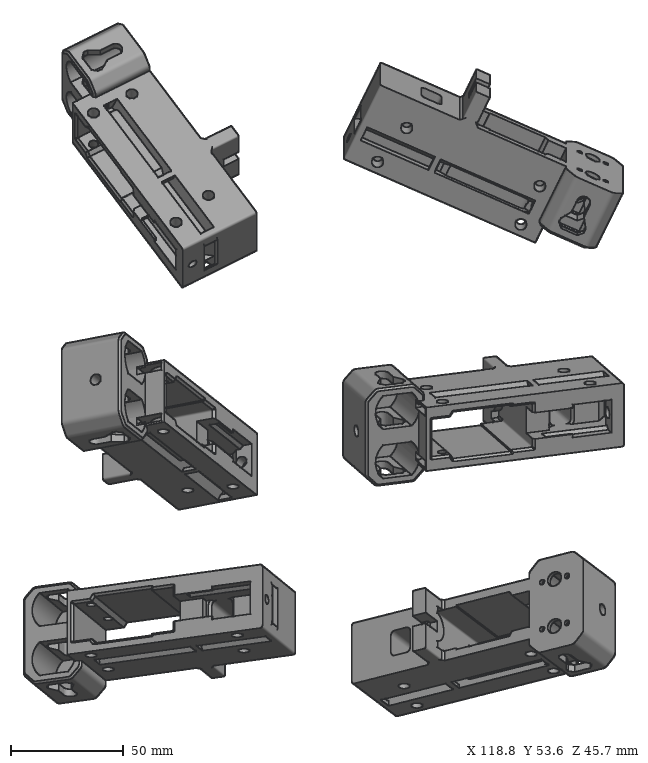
import cadquery as cq
import math


total_length = 118.8
body_left = 25.0
body_depth = 38.5
body_half_height = 15.0
body_edge_radius = 1.2
front = -body_depth

head_width = 27.9
head_depth = 29.1
head_height = 45.7
head_half_height = head_height / 2
head_corner_chamfer = 5.0
head_corner_radius = 3.0
head_front_chamfer = 1.0
pocket_x = 14.8
pocket_spacing = 23.2
pocket_z = pocket_spacing / 2
pocket_radius = 10.3
pocket_half_height = 7.8
pocket_rear_wall = 2.0
shaft_hole_diameter = 6.9
screw_hole_diameter = 2.4
screw_hole_spacing = 12.7
screw_hole_offset = screw_hole_spacing / 2

key_neck_width = 6.0
key_neck_radius = key_neck_width / 2
key_neck_y = -9.9
key_flare_start = -15.9
key_flare_end = -20.7
key_bulb_half_width = 6.0
key_bulb_corner = 2.1
key_bulb_front = -24.8

insert_mouth_diameter = 5.1
insert_tip_diameter = 4.0
insert_depth = 6.5
insert_rear_row = -13.4
insert_front_row = -33.4
insert_left_x = 34.5
insert_right_xs = {insert_rear_row: 99.6, insert_front_row: 104.6}
head_insert_y = -16.9

bay_left = 27.9
bay_right = 75.6
bay_left_half_height = 8.8
bay_mid_half_height = 10.9
bay_right_half_height = 10.2
bay_ramp_start = 36.6
bay_ramp_end = 38.1
bay_step_x = 65.3
bay_mouth_chamfer = 1.1
bay_corner_radius = 0.8

plug_left = 86.6
plug_right = 112.8
plug_half_height = 6.2
plug_rear = -25.8
partition_front = -29.7
plug_mouth_left = 94.4
plug_mouth_half_height = 7.7
plug_mouth_rear = -34.3
plug_groove_left = 81.9
plug_lip = 1.1
passage_left = 111.6
passage_front = -30.9
window_left, window_right = 88.8, 98.7
window_radius = 2.1
window_chamfer = 1.2

channel_floor = 10.5
channel_roof = 13.3
channel_plateau = 12.0
channel_front = -27.3
channel_rear = -20.4
channel_slant = math.radians(30)
plateau_left, plateau_right = 38.2, 74.1
plateau_ramp = 2.8
bend_x = 112.7
bend_inner_radius = 3.6
bend_outer_radius = bend_inner_radius + channel_roof - channel_floor
bend_z = channel_floor - bend_inner_radius
exit_left = bend_x + bend_inner_radius
inlet_roof = 14.0
inlet_rear = -24.8
inlet_end = 35.7
flare_front = -36.9
flare_radius = 6.6
slots = [(33.5, 79.6), (82.5, 115.7)]

tab_left, tab_right = 72.1, 78.8
tab_length = 15.1
tab_edge_radius = 0.89
gusset = 1.01
tab_notch_half_height = 2.6
tab_notch_bottom = 7.1
tab_notch_relief_bottom = 4.9
tab_recess_depth = 4.6
tab_recess_half_height = 10.1
tab_recess_corner = 0.7
tab_boss_y = 6.2
tab_boss_radius = 7.0


def box(x0, x1, y0, y1, z0, z1):
    return cq.Workplane("XY").box(x1 - x0, y1 - y0, z1 - z0, centered=False).translate((x0, y0, z0))


def both_sides(shape):
    """The shape together with its mirror image below Z = 0."""
    return shape.union(shape.mirror("XY"))


def facing_front(y):
    """Sketch plane at the given Y, facing -Y; its axes are X and Z."""
    return cq.Workplane("XZ", origin=(0, y, 0))


def insert_hole(depth, point, direction):
    """Cone narrowing from the mouth at the surface."""
    return cq.Workplane(cq.Solid.makeCone(
        insert_mouth_diameter / 2, insert_tip_diameter / 2, depth,
        cq.Vector(*point), cq.Vector(*direction)))


def head():
    block = box(0, head_width, -head_depth, 0, -head_half_height, head_half_height)
    block = block.edges("|Y").chamfer(head_corner_chamfer)
    block = block.edges("|Y").fillet(head_corner_radius)
    block = block.faces("<Y").chamfer(head_front_chamfer)
    for z in (-pocket_z, pocket_z):
        pocket = (facing_front(-pocket_rear_wall).center(pocket_x, z)
                  .circle(pocket_radius).extrude(head_depth))
        pocket = pocket.intersect(box(0, head_width, -head_depth, 0,
                                      z - pocket_half_height, z + pocket_half_height))
        shaft_hole = (facing_front(0).center(pocket_x, z)
                      .circle(shaft_hole_diameter / 2).extrude(head_depth))
        screws = (facing_front(0).center(pocket_x, z)
                  .pushPoints([(-screw_hole_offset, 0), (screw_hole_offset, 0)])
                  .circle(screw_hole_diameter / 2).extrude(head_depth))
        block = block.cut(pocket).cut(shaft_hole).cut(screws)
    return block.cut(keyhole()).cut(insert_hole(insert_depth, (0, head_insert_y, 0), (1, 0, 0)))


def keyhole():
    bulb_side = key_bulb_front + key_bulb_corner
    return (cq.Workplane("XY", origin=(pocket_x, 0, -head_half_height))
            .moveTo(-key_neck_radius, key_neck_y)
            .threePointArc((0, key_neck_y + key_neck_radius), (key_neck_radius, key_neck_y))
            .lineTo(key_neck_radius, key_flare_start)
            .lineTo(key_bulb_half_width, key_flare_end)
            .lineTo(key_bulb_half_width, bulb_side)
            .lineTo(key_bulb_half_width - key_bulb_corner, key_bulb_front)
            .lineTo(key_bulb_corner - key_bulb_half_width, key_bulb_front)
            .lineTo(-key_bulb_half_width, bulb_side)
            .lineTo(-key_bulb_half_width, key_flare_end)
            .lineTo(-key_neck_radius, key_flare_start)
            .close().extrude(2 * head_half_height))


def body():
    block = box(body_left, total_length, front, 0, -body_half_height, body_half_height)
    return block.edges("|Y and >X").fillet(body_edge_radius)


def tab():
    arm = box(tab_left, tab_right, 0, tab_length, -body_half_height, body_half_height)
    arm = arm.edges("|Y").fillet(tab_edge_radius)
    foot = (cq.Workplane("XY", origin=(0, 0, -body_half_height))
            .polyline([(tab_left - gusset, 0), (tab_left + tab_edge_radius, gusset + tab_edge_radius),
                       (tab_right - tab_edge_radius, gusset + tab_edge_radius), (tab_right + gusset, 0)])
            .close().extrude(2 * body_half_height))
    return arm.union(foot)


def tab_notch():
    notch = box(tab_left, tab_right, tab_notch_bottom, tab_length,
                -tab_notch_half_height, tab_notch_half_height)
    relief = box(tab_left, bay_right, tab_notch_relief_bottom, tab_length,
                 -tab_notch_half_height, tab_notch_half_height)
    return notch.union(relief)


def tab_recess():
    """End of the battery bay, sunk into the tab."""
    recess = box(tab_left - gusset, bay_right, 0, tab_recess_depth,
                 -tab_recess_half_height, tab_recess_half_height)
    return recess.edges("|Y and >X").chamfer(tab_recess_corner)


def tab_boss():
    """Round boss across the recess, wrapped around the foot of the notch."""
    return (cq.Workplane("YZ", origin=(tab_left, 0, 0)).center(tab_boss_y, 0)
            .circle(tab_boss_radius).extrude(bay_right - tab_left))


def bay():
    """Through opening for the battery, widened by a chamfer at its front mouth."""
    upper = [(bay_left, bay_left_half_height), (bay_ramp_start, bay_left_half_height),
             (bay_ramp_end, bay_mid_half_height), (bay_step_x, bay_mid_half_height),
             (bay_step_x, bay_right_half_height), (bay_right, bay_right_half_height)]
    outline = upper + [(x, -z) for x, z in reversed(upper)]
    opening = facing_front(0).polyline(outline).close().extrude(body_depth)
    opening = opening.edges("|Y and >X").fillet(bay_corner_radius)
    mouth = (facing_front(front + bay_mouth_chamfer).polyline(outline).close()
             .extrude(bay_mouth_chamfer, taper=-45))
    return opening.union(mouth)


def window_outline(y):
    """Rounded outline of the rear window of the plug bay, drawn at the given Y."""
    sketch = (cq.Sketch().rect(window_right - window_left, 2 * plug_half_height)
              .vertices().fillet(window_radius))
    return facing_front(y).center((window_left + window_right) / 2, 0).placeSketch(sketch)


def plug_bay():
    """Plug pocket with a groove, a wider mouth, a rear window and a passage to the right end."""
    shelf = box(bay_right, plug_left, front, partition_front, -plug_half_height, plug_half_height)
    pocket = box(plug_left, plug_right, front, plug_rear, -plug_half_height, plug_half_height)
    slope = plug_mouth_half_height - plug_half_height
    upper = [(front + plug_lip, plug_mouth_half_height), (plug_mouth_rear, plug_mouth_half_height),
             (plug_mouth_rear + slope, plug_half_height)]
    groove = (cq.Workplane("YZ", origin=(plug_groove_left, 0, 0))
              .polyline(upper + [(y, -z) for y, z in reversed(upper)]).close()
              .extrude(plug_right - plug_groove_left))
    mouth = box(plug_mouth_left, plug_right, front, front + plug_lip,
                -plug_mouth_half_height, plug_mouth_half_height)
    window = window_outline(0).extrude(-plug_rear)
    flare = window_outline(plug_rear + window_chamfer).extrude(window_chamfer, taper=-45)
    flare = flare.intersect(box(body_left, total_length, front, 0, -plug_half_height, plug_half_height))
    passage = (cq.Workplane("XY", origin=(0, 0, -plug_half_height))
               .polyline([(passage_left, plug_rear), (exit_left, channel_rear), (total_length, channel_rear),
                          (total_length, channel_front), (exit_left, channel_front),
                          (plug_right, passage_front), (passage_left, passage_front)])
               .close().extrude(2 * plug_half_height))
    exit_opening = box(exit_left, total_length, channel_front, channel_rear, -bend_z, bend_z)
    opening = shelf.union(pocket)
    for extra in (groove, mouth, window, flare, passage, exit_opening):
        opening = opening.union(extra)
    return opening


def on_arc(radius, degrees):
    """Point in X and Z on a circle about the centre of the channel bend."""
    angle = math.radians(degrees)
    return (bend_x + radius * math.cos(angle), bend_z + radius * math.sin(angle))


def channel():
    """Wire channel in the top wall, rising over the bay and bending down to the right end."""
    rear_shift = 2 * body_half_height * math.tan(channel_slant)
    run_start = slots[0][0]
    run = (facing_front(channel_rear)
           .moveTo(run_start, channel_roof)
           .lineTo(bend_x, channel_roof)
           .threePointArc(on_arc(bend_outer_radius, 45), on_arc(bend_outer_radius, 0))
           .lineTo(exit_left, bend_z)
           .threePointArc(on_arc(bend_inner_radius, 45), (bend_x, channel_floor))
           .lineTo(plateau_right + plateau_ramp, channel_floor)
           .lineTo(plateau_right, channel_plateau)
           .lineTo(plateau_left, channel_plateau)
           .tangentArcPoint((plateau_left - plateau_ramp, channel_floor), relative=False)
           .lineTo(run_start, channel_floor)
           .close().extrude(channel_rear - channel_front))
    run = run.intersect(box(run_start, total_length, channel_front, channel_rear, 0, body_half_height))
    for slot_left, slot_right in slots:
        run = run.union(box(slot_left, slot_right, channel_front, channel_rear,
                            channel_plateau, body_half_height))
    lean = (cq.Workplane("YZ", origin=(run_start, 0, 0))
            .polyline([(channel_rear, body_half_height), (channel_rear, -body_half_height),
                       (channel_rear - rear_shift, -body_half_height)])
            .close().extrude(exit_left - run_start))
    return run.cut(lean).union(inlet())


def inlet():
    """Left end of the channel, widening forwards around the insert boss."""
    corner_x = inlet_end - flare_radius
    corner_y = channel_front - flare_radius
    mid = flare_radius * math.sqrt(0.5)
    return (cq.Workplane("XY", origin=(0, 0, channel_floor))
            .moveTo(body_left, inlet_rear)
            .lineTo(body_left, flare_front)
            .lineTo(corner_x, flare_front)
            .lineTo(corner_x, corner_y)
            .threePointArc((inlet_end - mid, corner_y + mid), (inlet_end, channel_front))
            .lineTo(inlet_end, inlet_rear)
            .close().extrude(inlet_roof - channel_floor))


def wall_inserts():
    """Insert holes in the top wall."""
    holes = cq.Workplane("XY")
    for y, right_x in insert_right_xs.items():
        for x in (insert_left_x, right_x):
            holes = holes.union(insert_hole(insert_depth, (x, y, body_half_height), (0, 0, -1)))
    return holes


def end_insert():
    """Insert hole from the plug bay out through the right end wall."""
    return insert_hole(total_length - plug_right, (plug_right, insert_front_row, 0), (1, 0, 0))


result = (head().union(body()).union(tab())
          .cut(bay()).cut(tab_recess()).union(tab_boss()).cut(tab_notch()).cut(plug_bay())
          .cut(both_sides(channel())).cut(both_sides(wall_inserts())).cut(end_insert()))